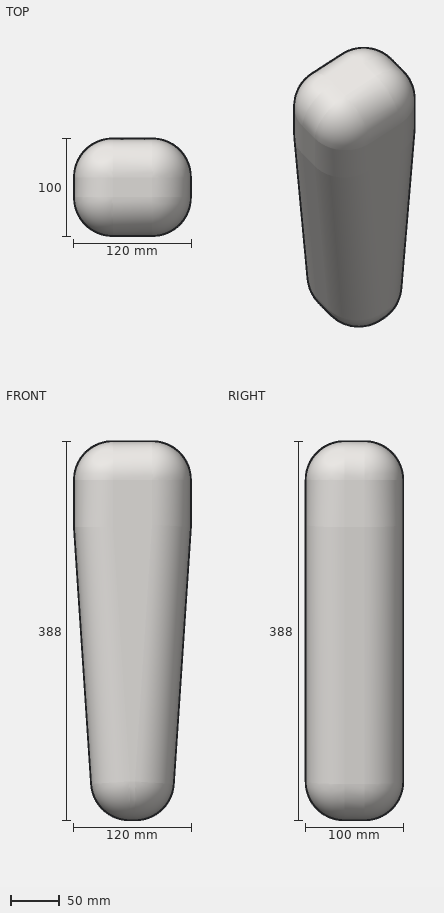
import cadquery as cq

height = 388.0
top_width = 120.0
bottom_width = 80.0
depth = 100.0
shoulder_height = 300.0
edge_radius = 40.0


def tapered_block():
    """Flat-sided block: straight head above a body that narrows downward."""
    outline = [
        (-bottom_width / 2, 0),
        (bottom_width / 2, 0),
        (top_width / 2, shoulder_height),
        (top_width / 2, height),
        (-top_width / 2, height),
        (-top_width / 2, shoulder_height),
    ]
    return cq.Workplane("XZ").polyline(outline).close().extrude(depth / 2, both=True)


def round_outer_edges(block):
    """Round every edge except the two shoulder lines where the taper starts."""
    return block.edges("(not |Y) or >Z or <Z").fillet(edge_radius)


result = round_outer_edges(tapered_block())